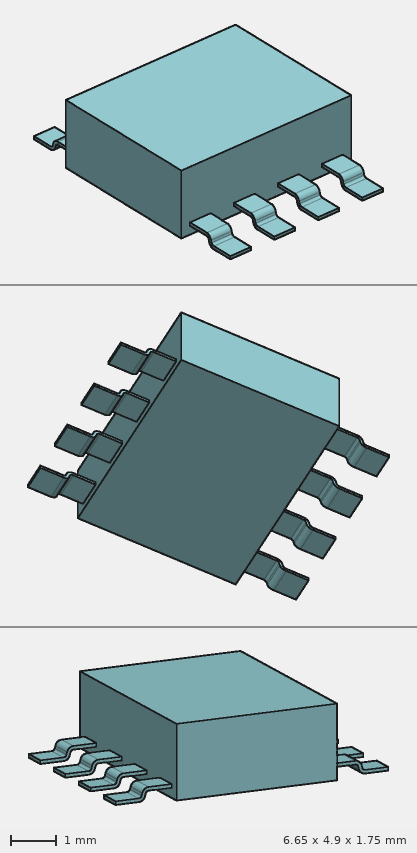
import cadquery as cq
import math

BODY_X = 3.92
BODY_Y = 4.9
BODY_Z = 1.75

SPAN_X = 6.65
LEADS_PER_SIDE = 4
LEAD_PITCH = 1.27
LEAD_WIDTH = 0.6
LEAD_THICKNESS = 0.085
LEAD_RISE = 0.23
FOOT_LENGTH = 0.565
BEND_ANGLE = 75.0
INNER_RADIUS = 0.07
OUTER_RADIUS = INNER_RADIUS + LEAD_THICKNESS


def make_body():
    return cq.Workplane("XY").box(BODY_X, BODY_Y, BODY_Z, centered=(True, True, False))


def make_lead(y_center):
    """Lead on the -X side: foot on Z = 0, S-bend, shoulder ending on the body face."""
    tip_x = -SPAN_X / 2
    face_x = -BODY_X / 2
    angle = math.radians(BEND_ANGLE)

    bend_radii = INNER_RADIUS + OUTER_RADIUS
    riser_length = (LEAD_RISE - bend_radii * (1 - math.cos(angle))) / math.sin(angle)

    lower_x = tip_x + FOOT_LENGTH
    lower_z = OUTER_RADIUS
    upper_x = lower_x + bend_radii * math.sin(angle) + riser_length * math.cos(angle)
    upper_z = LEAD_RISE - INNER_RADIUS
    shoulder_top = LEAD_RISE + LEAD_THICKNESS

    def lower_bend(radius, turn):
        return (lower_x + radius * math.sin(turn), lower_z - radius * math.cos(turn))

    def upper_bend(radius, turn):
        return (upper_x - radius * math.sin(turn), upper_z + radius * math.cos(turn))

    profile = (
        cq.Workplane("XZ", origin=(0, y_center, 0))
        .moveTo(tip_x, 0)
        .lineTo(*lower_bend(OUTER_RADIUS, 0))
        .threePointArc(lower_bend(OUTER_RADIUS, angle / 2), lower_bend(OUTER_RADIUS, angle))
        .lineTo(*upper_bend(INNER_RADIUS, angle))
        .threePointArc(upper_bend(INNER_RADIUS, angle / 2), upper_bend(INNER_RADIUS, 0))
        .lineTo(face_x, LEAD_RISE)
        .lineTo(face_x, shoulder_top)
        .lineTo(*upper_bend(OUTER_RADIUS, 0))
        .threePointArc(upper_bend(OUTER_RADIUS, angle / 2), upper_bend(OUTER_RADIUS, angle))
        .lineTo(*lower_bend(INNER_RADIUS, angle))
        .threePointArc(lower_bend(INNER_RADIUS, angle / 2), lower_bend(INNER_RADIUS, 0))
        .lineTo(tip_x, LEAD_THICKNESS)
        .close()
    )
    return profile.extrude(LEAD_WIDTH / 2, both=True)


body = make_body()

leads = []
for index in range(LEADS_PER_SIDE):
    y_center = (index - (LEADS_PER_SIDE - 1) / 2) * LEAD_PITCH
    left_lead = make_lead(y_center)
    right_lead = left_lead.mirror("YZ")
    leads += [left_lead.val(), right_lead.val()]

result = cq.Compound.makeCompound([body.val(), *leads])